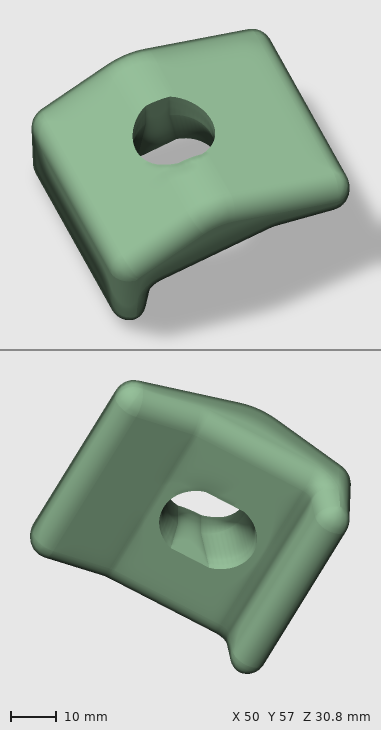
import cadquery as cq
import math

width = 50.0
length = 56.95
height = 30.9
edge_radius = 4.55
side_radius = 0.999 * edge_radius

rear_corner_top_z = 19.5
rear_corner_bottom_z = 18.4
rear_slope = 14.6
front_slope = 25.9
crest_y = -5.1
crest_radius = 15.05
front_corner_radius = 4.95
front_lean = 1.5

underside_rear_slope = 7.2
underside_front_slope = 10.2
underside_bend_y = 8.95
underside_bend_radius = 3.4
throat_y = -19.15
throat_radius = 2.3
lip_lean = 9.5

tip_radius = 3.95
tip_y = -24.2

hole_diameter = 18.05
hole_flat_width = 17.15
hole_y = -4.0
hole_flare_z = 23.9
hole_flare_angle = 10.0

margin = 22.8
tip_z = tip_radius
rear_y = length / 2


def tangent(degrees):
    return math.tan(math.radians(degrees))


def prism(points, thickness):
    """Extrude a YZ outline symmetrically along X."""
    return cq.Workplane("YZ").polyline(points).close().extrude(thickness / 2, both=True)


def round_at(solid, y, z, radius):
    """Round the outline corner at (y, z)."""
    corner = cq.selectors.NearestToPointSelector((0, y, z))
    return solid.edges("|X").edges(corner).fillet(radius)


def round_sides(solid, is_kept):
    """Round the side-face edges whose centre passes is_kept, leaving out the trimmed excess."""
    edges = solid.faces("<X or >X").edges()
    return edges.filter(lambda edge: is_kept(edge.Center())).fillet(side_radius)


def front_face_y(z):
    radius_offset = tip_radius / math.cos(math.radians(front_lean))
    return tip_y - radius_offset - (z - tip_z) * tangent(front_lean)


def lip_face_y(z):
    radius_offset = tip_radius / math.cos(math.radians(lip_lean))
    return tip_y + radius_offset + (z - tip_z) * tangent(lip_lean)


rear_lean = math.radians(rear_slope)
rear_top_z = rear_corner_top_z + edge_radius * (1 / math.cos(rear_lean) - math.tan(rear_lean))
crest_z = rear_top_z + (rear_y - crest_y) * tangent(rear_slope)
lean_product = tangent(front_slope) * tangent(front_lean)
front_top_z = (crest_z - (crest_y - front_face_y(0)) * tangent(front_slope)) / (1 + lean_product)
front_top_y = front_face_y(front_top_z)

under_lean = math.radians(underside_rear_slope)
rear_bottom_z = rear_corner_bottom_z - edge_radius * (1 / math.cos(under_lean) + math.tan(under_lean))
bend_z = rear_bottom_z + (rear_y - underside_bend_y) * tangent(underside_rear_slope)
throat_z = bend_z - (underside_bend_y - throat_y) * tangent(underside_front_slope)
throat_corner_y = lip_face_y(throat_z)


def upper_body():
    """Material under the top and front faces, with the side edges rounded."""
    body = prism(
        [
            (rear_y, -margin),
            (rear_y, rear_top_z),
            (crest_y, crest_z),
            (front_top_y, front_top_z),
            (front_face_y(-margin), -margin),
        ],
        width,
    )
    body = round_at(body, crest_y, crest_z, crest_radius)
    body = round_at(body, rear_y, rear_top_z, edge_radius)
    body = round_at(body, front_top_y, front_top_z, front_corner_radius)
    return round_sides(body, lambda centre: centre.z > 0.55 - margin)


def lower_body():
    """Material above the underside and lip faces, with the side edges rounded."""
    top = height + margin
    body = prism(
        [
            (rear_y, top),
            (rear_y, rear_bottom_z),
            (underside_bend_y, bend_z),
            (throat_corner_y, throat_z),
            (lip_face_y(-margin), -margin),
            (-rear_y - margin, -margin),
            (-rear_y - margin, top),
        ],
        width,
    )
    body = round_at(body, underside_bend_y, bend_z, underside_bend_radius)
    body = round_at(body, throat_corner_y, throat_z, throat_radius)
    body = round_at(body, rear_y, rear_bottom_z, edge_radius)
    excess_y = -rear_y - margin
    return round_sides(
        body,
        lambda centre: 0.55 - margin < centre.z < top - 0.55 and centre.y > excess_y + 0.55,
    )


def below_tip():
    """Everything beyond the tip centre, between the two tangent directions."""
    reach = 2 * tip_radius
    return prism(
        [
            (tip_y, tip_z),
            (tip_y + reach, tip_z - reach * tangent(lip_lean)),
            (tip_y + reach, -2 * margin),
            (tip_y - reach, -2 * margin),
            (tip_y - reach, tip_z - reach * tangent(front_lean)),
        ],
        2 * width,
    )


def lip_tip():
    """Round of the lip between its two flanks, turned about its centre line; the ends follow the edge rounding."""
    flat = width / 2 - side_radius
    arc_centre = tip_radius - side_radius
    end = flat + math.sqrt(side_radius**2 - arc_centre**2)
    mid_angle = (math.pi / 2 + math.asin(-arc_centre / side_radius)) / 2
    mid_x = flat + side_radius * math.cos(mid_angle)
    mid_r = arc_centre + side_radius * math.sin(mid_angle)
    return (
        cq.Workplane("XY")
        .moveTo(-end, 0)
        .threePointArc((-mid_x, mid_r), (-flat, tip_radius))
        .lineTo(flat, tip_radius)
        .threePointArc((mid_x, mid_r), (end, 0))
        .close()
        .revolve(180 - front_lean - lip_lean, (0, 0, 0), (1, 0, 0))
        .rotate((0, 0, 0), (1, 0, 0), 180 + front_lean)
        .translate((0, tip_y, tip_z))
    )


def hole_parts():
    """Vertical round hole and its front and rear flares, each trimmed by the two side flats."""
    radius = hole_diameter / 2
    shift = hole_flare_z * tangent(hole_flare_angle)
    parts = [cq.Workplane("XY").circle(radius).extrude(2 * height)]
    for direction in (-1, 1):
        rim = cq.Wire.makeCircle(radius, cq.Vector(0, 0, hole_flare_z), cq.Vector(0, 0, 1))
        slant = cq.Vector(0, direction * shift, -hole_flare_z)
        parts.append(cq.Workplane(cq.Solid.extrudeLinear(rim, [], slant)))
    flats = cq.Workplane("XY").rect(hole_flat_width, 3 * hole_diameter).extrude(2 * height)
    return [part.intersect(flats).translate((0, hole_y, 0)) for part in parts]


result = upper_body().intersect(lower_body()).cut(below_tip()).union(lip_tip())
for part in hole_parts():
    result = result.cut(part)